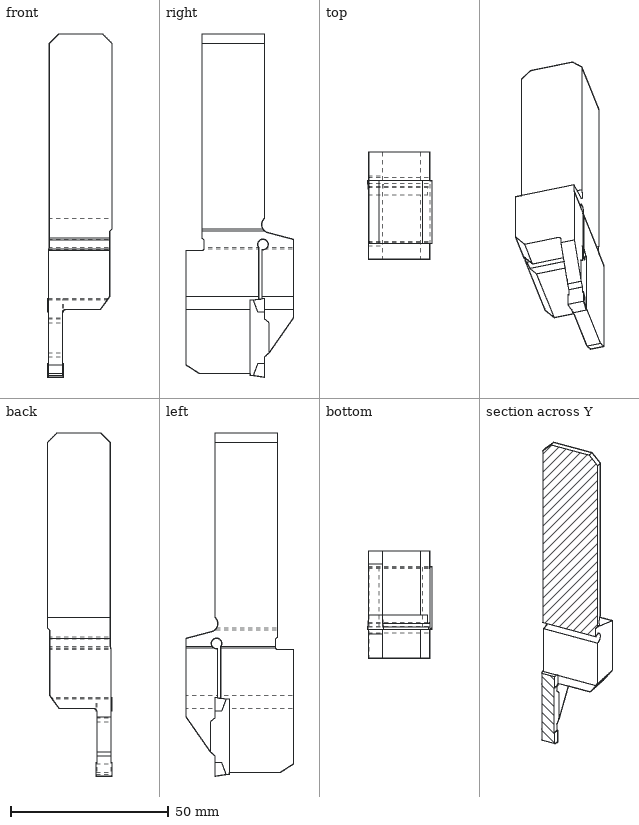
import cadquery as cq

HEIGHT = 109.1
SHANK_SIZE = 20.0
SHANK_CHAMFER = 3.1
SHANK_X = 0.5
SHANK_END_X = SHANK_X + SHANK_SIZE

BLADE_X = 0.3
BLADE_END_X = 4.8
HEAD_END_X = 19.9
SIDE_RELIEF_Z = 47.1
SIDE_RELIEF_DROP = SHANK_END_X - HEAD_END_X
HEAD_CORNER_Z = 25.7
HEAD_BOTTOM_Z = 21.5
HEAD_CORNER_X = 16.8
BLADE_FILLET = 1.0
FACE_STEP_TOP_Z = 41.2
FACE_STEP_BOTTOM_Z = 40.7

FRONT_Y = -5.0
BACK_Y = 29.1
LEDGE_Z = 40.4
LEDGE_CHAMFER = 0.3
FRONT_RELIEF_Y = 0.7
FRONT_RELIEF_Z = 44.3
TOE_Y = -0.8
TOE_Z = 3.9
BLADE_BOTTOM_Z = 1.2
CLAMP_TOP_Z = 43.9
CLAMP_CORNER_Z = 18.9
NOTCH_TOP = (SHANK_SIZE, 50.5)
NOTCH_DEEPEST = (19.1, 49.0)
NOTCH_BOTTOM = (21.3, 45.9)

HOLE_Y = 19.4
HOLE_Z = 42.2
HOLE_RADIUS = 1.6
SLOT_Y = 18.1
SLOT_WIDTH = 1.0

INSERT_MID_Z = 12.5
INSERT_HALF_LENGTH = INSERT_MID_Z
INSERT_HEEL_DROP = 0.5
INSERT_BASE_Y = 15.4
INSERT_HEEL_Y = 16.4
INSERT_RAKE_Y = 20.0
INSERT_CREST_Y = 21.4
CREST_HALF_LENGTH = 4.8
CREST_FOOT_HALF_LENGTH = 6.0

TIP_FLARE = BLADE_X
TIP_LENGTH = 4.4
TIP_ROOT_Y = 17.8

CLAMP_TOE_Z = INSERT_MID_Z - CREST_HALF_LENGTH


def prism_x(profile, x_start, x_end):
    """Extrude a closed YZ profile between two X positions."""
    return profile.extrude(x_end - x_start).translate((x_start, 0, 0))


def insert_outline():
    """Closed YZ outline shared by the insert and its pocket."""
    lower = [
        (INSERT_BASE_Y, INSERT_HALF_LENGTH - INSERT_HEEL_DROP),
        (INSERT_HEEL_Y, INSERT_HALF_LENGTH - INSERT_HEEL_DROP),
        (INSERT_RAKE_Y, INSERT_HALF_LENGTH),
        (INSERT_RAKE_Y, CREST_FOOT_HALF_LENGTH),
        (INSERT_CREST_Y, CREST_HALF_LENGTH),
    ]
    points = [(y, INSERT_MID_Z - z) for y, z in lower]
    points += [(y, INSERT_MID_Z + z) for y, z in reversed(lower)]
    return cq.Workplane("YZ").polyline(points).close()


def holder_side_profile():
    """YZ outline of the shank, head and clamp arm."""
    return (
        cq.Workplane("YZ")
        .moveTo(0, HEIGHT)
        .lineTo(0, FRONT_RELIEF_Z)
        .lineTo(FRONT_RELIEF_Y, FRONT_RELIEF_Z - FRONT_RELIEF_Y)
        .lineTo(FRONT_RELIEF_Y, LEDGE_Z + LEDGE_CHAMFER)
        .lineTo(FRONT_RELIEF_Y - LEDGE_CHAMFER, LEDGE_Z)
        .lineTo(FRONT_Y, LEDGE_Z)
        .lineTo(FRONT_Y, TOE_Z)
        .lineTo(TOE_Y, BLADE_BOTTOM_Z)
        .lineTo(INSERT_BASE_Y, BLADE_BOTTOM_Z)
        .lineTo(INSERT_BASE_Y, CLAMP_TOE_Z)
        .lineTo(INSERT_CREST_Y, CLAMP_TOE_Z)
        .lineTo(BACK_Y, CLAMP_CORNER_Z)
        .lineTo(BACK_Y, CLAMP_TOP_Z)
        .lineTo(*NOTCH_BOTTOM)
        .threePointArc(NOTCH_DEEPEST, NOTCH_TOP)
        .lineTo(SHANK_SIZE, HEIGHT)
        .close()
    )


def holder_front_envelope():
    """XZ outline of the shank, head and thin blade, extruded over the full depth."""
    profile = (
        cq.Workplane("XZ")
        .moveTo(SHANK_X, HEIGHT - SHANK_CHAMFER)
        .lineTo(SHANK_X + SHANK_CHAMFER, HEIGHT)
        .lineTo(SHANK_END_X - SHANK_CHAMFER, HEIGHT)
        .lineTo(SHANK_END_X, HEIGHT - SHANK_CHAMFER)
        .lineTo(SHANK_END_X, SIDE_RELIEF_Z)
        .lineTo(HEAD_END_X, SIDE_RELIEF_Z - SIDE_RELIEF_DROP)
        .lineTo(HEAD_END_X, HEAD_CORNER_Z)
        .lineTo(HEAD_CORNER_X, HEAD_BOTTOM_Z)
        .lineTo(BLADE_END_X + BLADE_FILLET, HEAD_BOTTOM_Z)
        .radiusArc((BLADE_END_X, HEAD_BOTTOM_Z - BLADE_FILLET), -BLADE_FILLET)
        .lineTo(BLADE_END_X, 0)
        .lineTo(BLADE_X, 0)
        .lineTo(BLADE_X, FACE_STEP_BOTTOM_Z)
        .lineTo(SHANK_X, FACE_STEP_TOP_Z)
        .close()
    )
    return profile.extrude(-(BACK_Y - FRONT_Y)).translate((0, FRONT_Y, 0))


def make_holder():
    body = prism_x(holder_side_profile(), BLADE_X, SHANK_END_X)
    body = body.intersect(holder_front_envelope())

    hole_profile = cq.Workplane("YZ").center(HOLE_Y, HOLE_Z).circle(HOLE_RADIUS)
    relief_hole = prism_x(hole_profile, 0, SHANK_END_X)
    slot = cq.Workplane("XY").box(
        SHANK_END_X, SLOT_WIDTH, HOLE_Z - INSERT_MID_Z, centered=False
    ).translate((0, SLOT_Y, INSERT_MID_Z))
    pocket = prism_x(insert_outline(), 0, SHANK_END_X)
    return body.cut(relief_hole).cut(slot).cut(pocket)


def make_tip():
    """Lower cutting tip, wedge-shaped in plan and bounded by the tip outline."""
    outline = cq.Workplane("YZ").polyline([
        (INSERT_RAKE_Y, 0),
        (INSERT_HEEL_Y, INSERT_HEEL_DROP),
        (TIP_ROOT_Y, TIP_LENGTH),
        (INSERT_RAKE_Y, TIP_LENGTH),
    ]).close()
    block = prism_x(outline, BLADE_X - TIP_FLARE, BLADE_END_X + TIP_FLARE)
    wedge = cq.Workplane("XY").polyline([
        (BLADE_X - TIP_FLARE, INSERT_RAKE_Y),
        (BLADE_X, INSERT_HEEL_Y),
        (BLADE_END_X, INSERT_HEEL_Y),
        (BLADE_END_X + TIP_FLARE, INSERT_RAKE_Y),
    ]).close().extrude(TIP_LENGTH)
    return block.intersect(wedge)


def make_insert():
    body = prism_x(insert_outline(), BLADE_X, BLADE_END_X)
    lower_tip = make_tip()
    upper_tip = lower_tip.mirror("XY", (0, 0, INSERT_MID_Z))
    return body.union(lower_tip).union(upper_tip)


holder = make_holder()
cutting_insert = make_insert()

result = cq.Compound.makeCompound([holder.val(), cutting_insert.val()])